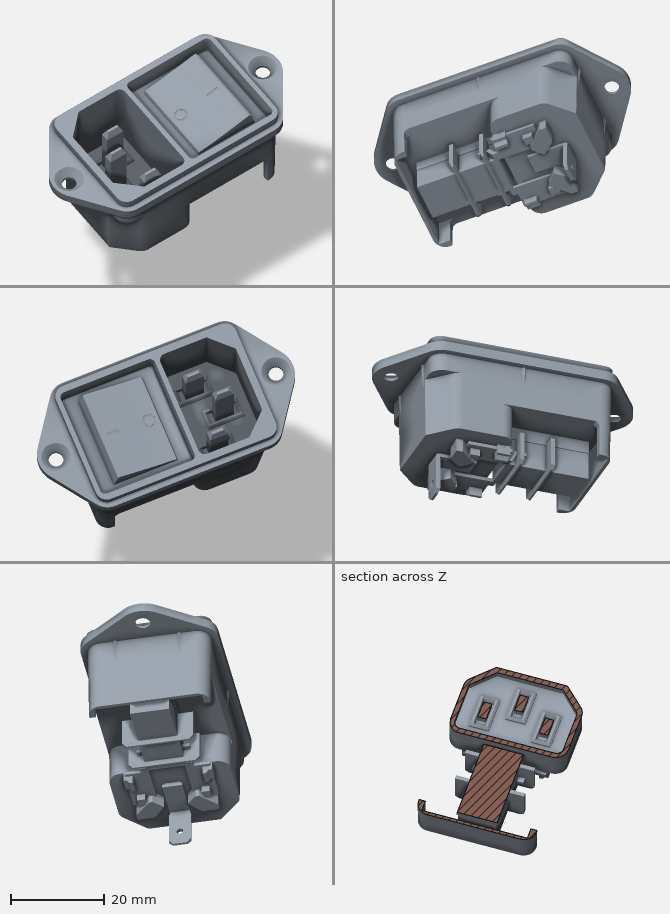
import cadquery as cq
import math


FLANGE_LENGTH = 58.95
FLANGE_WIDTH = 30.0
FLANGE_HALF_WIDTH = FLANGE_WIDTH / 2
FLANGE_THICKNESS = 2.2
EAR_SLOPE = 35.3
EAR_TIP_RADIUS = 6.0
EAR_SHOULDER_RADIUS = 4.25
SCREW_Y = 25.5
SCREW_DIAMETER = 3.2
SCREW_HEAD_DIAMETER = 6.3
SCREW_HEAD_ANGLE = 90
RIM_WIDTH = 27.55
RIM_LENGTH = 41.75
RIM_RADIUS = 2.5
RIM_TOP = 4.1

HOUSING_BOTTOM = -17.75
BOTTOM_WIDTH = 26.5
BOTTOM_LENGTH = 41.15
HOUSING_RADIUS = 2.85
DRAFT = 0.8
STEP_Z = -4.05
FRONT_FLAT_HALF_WIDTH = 7.95
SIDE_WALL = 1.4
END_WALL = 0.75
BAY_TOP = -9.7
WINDOW_BACK_Y = 17.3
WINDOW_CORNER = 0.8
INLET_BACK_Y = -1.8
BAY_FRONT_Y = INLET_BACK_Y - HOUSING_RADIUS
RIB_WIDTH = 1.1
RIB_HEIGHT = 0.4
RIB_ROOT = 0.6
RIB_TIP = 0.01
FRONT_RIB_X = 7.0
FRONT_RIB_LENGTH = 5.4
SIDE_RIB_LENGTH = 4.95

WELL_WIDTH = 24.65
WELL_LENGTH = 21.85
WELL_Y = 8.9
WELL_RADIUS = 1.2
WELL_FLOOR = 0.35
WELL_DRAFT = 6.0
BEZEL_WIDTH = 23.7
BEZEL_LENGTH = 21.0
BEZEL_TOP = 0.7
BEZEL_EDGE = 0.3
ROCKER_WIDTH = 20.1
ROCKER_BACK_Y = 16.3
ROCKER_FRONT_Y = 1.35
RIDGE_BACK_Y = 15.2
RIDGE_BACK_Z = 4.25
RIDGE_FRONT_Y = 14.7
RIDGE_FRONT_Z = 4.5
ROCKER_LIP_Y = 1.65
ROCKER_LIP_Z = 1.55
ROCKER_SAG = 0.2
MARK_DEPTH = 0.1
BAR_WIDTH = 0.6
BAR_LENGTH = 3.05
BAR_Y = 12.25
RING_Y = 3.9
RING_OUTER_RADIUS = 1.55
RING_INNER_RADIUS = 1.0

INLET_WIDTH = 24.35
INLET_HALF_WIDTH = INLET_WIDTH / 2
INLET_TOP_Y = -3.1
INLET_BOTTOM_Y = -19.3
INLET_CHAMFER_X = 7.4
INLET_CHAMFER_Y = -14.4
INLET_TOP_RADIUS = 1.5
INLET_LOW_RADIUS = 0.6
INLET_FLOOR = -12.95
LIVE_PIN_X = 6.95
LIVE_PIN_Y = -9.15
EARTH_PIN_Y = -13.2
LIVE_PIN_TOP = -0.3
EARTH_PIN_TOP = 2.65
PIN_WIDTH = 2.0
PIN_LENGTH = 4.25
PIN_TIP_WIDTH = 0.6
PIN_TIP_LENGTH = 2.65
PIN_TIP_HEIGHT = 1.5
COLLAR_WIDTH = 4.5
COLLAR_LENGTH = 8.4
COLLAR_HEIGHT = 0.9
COLLAR_EDGE = 0.5
SLOT_WIDTH = 2.7
SLOT_LENGTH = 7.3
SLOT_FLOOR_WIDTH = 2.25
SLOT_FLOOR_LENGTH = 6.0

SWITCH_HALF_WIDTH = 4.3
SWITCH_SHOULDER = 0.25
SWITCH_SHOULDER_Z = -12.55
SWITCH_BACK_Y = 18.1
SWITCH_FRONT_Y = -0.7
SWITCH_BOTTOM = -18.8
BLADE_YS = (1.7, 8.7)
BLADE_THICKNESS = 0.9
BLADE_HALF_SPAN = 7.8
BLADE_BOTTOM = -19.9
BLADE_BEVEL_HEIGHT = 0.95
BLADE_BEVEL = 0.25
BLADE_CORNER = 0.9
METAL = 0.75
STRIP_TOP = -18.05
LINK_INNER_X = 4.0
LINK_OUTER_X = 5.8
LINK_RISE = 1.8
LINK_RAMP_START_Y = -0.6
LINK_RAMP_END_Y = 0.6
LINK_END_Y = 3.35
LINK_BEND_SHIFT = 0.6
PAD_OUTER_X = 9.4
PAD_FRONT_Y = -11.2
PAD_BACK_Y = -1.2
POST_OUTER_X = 7.95
POST_INNER_X = 6.2
POST_FRONT_Y = -10.2
POST_BACK_Y = -8.1
POST_BOTTOM = -20.4
LEG_BACK_Y = INLET_BACK_Y
LEG_FRONT_Y = -4.7
LEG_OUTER_X = 9.7
LEG_STEP_X = 8.95
LEG_TIP_X = 8.4
LEG_INNER_X = 7.65
LEG_STEP_Z = -19.85
FOOT_BOTTOM = -20.75
FOOT_FRONT_Y = -13.85
FOOT_SIDE_Y = -12.4
FOOT_BACK_Y = -8.85
FOOT_FRONT_INNER_X = 5.1
FOOT_INNER_X = 2.65
FOOT_INNER_Y = -10.9
FOOT_BACK_INNER_X = 4.7
FOOT_BACK_OUTER_X = 5.5
FOOT_ROUNDING = 0.7
EARTH_TAB_Y = -16.1
EARTH_TAB_THICKNESS = 0.95
EARTH_BEND_RADIUS = 0.9
EARTH_PAD_WIDTH = 3.4
EARTH_PAD_FRONT_Y = -14.45
EARTH_PAD_BACK_Y = -6.8
EARTH_TAB_WIDTH = 4.85
EARTH_NECK_WIDTH = 4.35
EARTH_NECK_BOTTOM = -19.45
EARTH_TAB_BOTTOM = -27.7
EARTH_TIP_CHAMFER = 0.9
EARTH_TIP_BEVEL = 0.2
EARTH_HOLE_DIAMETER = 1.4
EARTH_HOLE_Z = -24.45


def block(x0, x1, y0, y1, z0, z1):
    """Box spanning the given coordinates."""
    return cq.Workplane("XY").box(x1 - x0, y1 - y0, z1 - z0, centered=False).translate((x0, y0, z0))


def rounded_block(width, length, radius, z0, z1, y=0.0):
    """Upright block centred on X = 0 with rounded vertical edges."""
    return block(-width / 2, width / 2, y - length / 2, y + length / 2, z0, z1).edges("|Z").fillet(radius)


def yz_prism(points, x0, x1):
    """Prism along X from an outline of (y, z) points."""
    return cq.Workplane("YZ").polyline(points).close().extrude(x1 - x0).translate((x0, 0, 0))


def bevel_tip(blade, bevel, height):
    """Upright blade thinned by bevel on both faces over the given height at its lower end."""
    box = blade.val().BoundingBox()
    outline = [
        (box.ymin, box.zmax),
        (box.ymin, box.zmin + height),
        (box.ymin + bevel, box.zmin),
        (box.ymax - bevel, box.zmin),
        (box.ymax, box.zmin + height),
        (box.ymax, box.zmax),
    ]
    return blade.intersect(yz_prism(outline, box.xmin, box.xmax))


def both_sides(solid):
    """The solid together with its mirror image across X = 0."""
    return solid.union(solid.mirror("YZ"))


def draft_growth(z):
    """Outward growth of each housing wall at height z, caused by the draft."""
    return (z - HOUSING_BOTTOM) * math.tan(math.radians(DRAFT))


def flange():
    slope = math.radians(EAR_SLOPE)
    apex = FLANGE_LENGTH / 2 + EAR_TIP_RADIUS * (1 / math.cos(slope) - 1)
    shoulder = apex - FLANGE_HALF_WIDTH * math.tan(slope)
    outline = [
        (FLANGE_HALF_WIDTH, shoulder),
        (0, apex),
        (-FLANGE_HALF_WIDTH, shoulder),
        (-FLANGE_HALF_WIDTH, -shoulder),
        (0, -apex),
        (FLANGE_HALF_WIDTH, -shoulder),
    ]
    plate = cq.Workplane("XY").polyline(outline).close().extrude(FLANGE_THICKNESS)
    plate = plate.edges("|Z and (>Y or <Y)").fillet(EAR_TIP_RADIUS)
    for side in ("<X", ">X"):
        plate = plate.faces(side).edges("|Z").fillet(EAR_SHOULDER_RADIUS)
    screws = plate.faces(">Z").workplane(origin=(0, 0, 0)).pushPoints([(0, SCREW_Y), (0, -SCREW_Y)])
    return screws.cskHole(SCREW_DIAMETER, SCREW_HEAD_DIAMETER, SCREW_HEAD_ANGLE)


def drafted(straight, height):
    """Solid with the base of the given straight one, its walls leaning outwards as they rise."""
    return straight.faces("<Z").wires().toPending().extrude(height, taper=-DRAFT)


def upper_housing():
    """Rounded collar between the flange and the step."""
    grow = draft_growth(STEP_Z)
    width = BOTTOM_WIDTH + 2 * grow
    length = BOTTOM_LENGTH + 2 * grow
    straight = rounded_block(width, length, HOUSING_RADIUS + grow, STEP_Z, 0)
    return drafted(straight, -STEP_Z)


def lower_housing():
    """Body under the step, with both -Y corners cut off."""
    height = STEP_Z - HOUSING_BOTTOM
    half_width = BOTTOM_WIDTH / 2
    half_length = BOTTOM_LENGTH / 2
    cut = half_width - FRONT_FLAT_HALF_WIDTH
    outline = [
        (FRONT_FLAT_HALF_WIDTH, -half_length),
        (half_width, cut - half_length),
        (half_width, half_length),
        (-half_width, half_length),
        (-half_width, cut - half_length),
        (-FRONT_FLAT_HALF_WIDTH, -half_length),
    ]
    straight = cq.Workplane("XY", origin=(0, 0, HOUSING_BOTTOM)).polyline(outline).close().extrude(height)
    for side in ("<X", ">X"):
        straight = straight.faces(side).edges("|Z").fillet(HOUSING_RADIUS)
    return drafted(straight, height)


def switch_bay():
    """Space around the switch body: hollow behind the inlet, open to both sides."""
    inner = BOTTOM_WIDTH / 2 - SIDE_WALL
    inside = block(-inner, inner, BAY_FRONT_Y, BOTTOM_LENGTH / 2 - END_WALL, HOUSING_BOTTOM, BAY_TOP)
    window = block(-FLANGE_HALF_WIDTH, FLANGE_HALF_WIDTH, BAY_FRONT_Y, WINDOW_BACK_Y,
                   HOUSING_BOTTOM, BAY_TOP)
    window = window.edges("|X and >Y and >Z").chamfer(WINDOW_CORNER)
    inlet_back = block(-BOTTOM_WIDTH / 2, BOTTOM_WIDTH / 2, INLET_BOTTOM_Y, INLET_BACK_Y,
                       HOUSING_BOTTOM, BAY_TOP)
    inlet_back = inlet_back.edges("|Z and >Y").fillet(HOUSING_RADIUS)
    return inside.union(window).cut(inlet_back)


def crush_rib(length, wall_distance):
    """Pointed triangular rib on a wall facing -Y, fading out downwards."""
    outline = [
        (-RIB_WIDTH / 2, -wall_distance),
        (0, -wall_distance - RIB_HEIGHT),
        (RIB_WIDTH / 2, -wall_distance),
        (0, RIB_ROOT - wall_distance),
    ]
    base = cq.Workplane("XY").polyline(outline).close()
    tip_y = draft_growth(0) - draft_growth(-length) - wall_distance
    return base.workplane(offset=-length).center(0, tip_y).rect(RIB_TIP, RIB_TIP).loft()


def crush_ribs():
    grow = draft_growth(0)
    end_rib = crush_rib(FRONT_RIB_LENGTH, BOTTOM_LENGTH / 2 + grow)
    side_rib = crush_rib(SIDE_RIB_LENGTH, BOTTOM_WIDTH / 2 + grow).rotate((0, 0, 0), (0, 0, 1), -90)
    ribs = both_sides(side_rib)
    for x in (-FRONT_RIB_X, FRONT_RIB_X):
        rib = end_rib.translate((x, 0, 0))
        ribs = ribs.union(rib).union(rib.mirror("XZ"))
    return ribs


def rocker():
    """Rocker tilted towards -Y with a slightly hollow face and engraved bar and ring."""
    chord_y = RIDGE_FRONT_Y - ROCKER_LIP_Y
    chord_z = RIDGE_FRONT_Z - ROCKER_LIP_Z
    chord = math.hypot(chord_y, chord_z)
    middle = ((RIDGE_FRONT_Y + ROCKER_LIP_Y) / 2 + ROCKER_SAG * chord_z / chord,
              (RIDGE_FRONT_Z + ROCKER_LIP_Z) / 2 - ROCKER_SAG * chord_y / chord)

    def below_face(drop):
        """Rocker solid with its whole outline lowered by drop."""
        profile = (
            cq.Workplane("YZ")
            .moveTo(ROCKER_BACK_Y, 0)
            .lineTo(ROCKER_BACK_Y, BEZEL_TOP)
            .lineTo(RIDGE_BACK_Y, RIDGE_BACK_Z)
            .lineTo(RIDGE_FRONT_Y, RIDGE_FRONT_Z)
            .threePointArc(middle, (ROCKER_LIP_Y, ROCKER_LIP_Z))
            .lineTo(ROCKER_FRONT_Y, BEZEL_TOP)
            .lineTo(ROCKER_FRONT_Y, 0)
            .close()
        )
        return profile.extrude(ROCKER_WIDTH / 2, both=True).translate((0, 0, -drop))

    bar = block(-BAR_WIDTH / 2, BAR_WIDTH / 2, BAR_Y - BAR_LENGTH / 2, BAR_Y + BAR_LENGTH / 2,
                0, RIDGE_FRONT_Z)
    ring = cq.Workplane("XY").center(0, RING_Y).circle(RING_OUTER_RADIUS).circle(RING_INNER_RADIUS)
    marks = bar.union(ring.extrude(RIM_TOP)).cut(below_face(MARK_DEPTH))
    return below_face(0).cut(marks)


def rocker_well():
    mouth = rounded_block(WELL_WIDTH, WELL_LENGTH, WELL_RADIUS, WELL_FLOOR, RIM_TOP, WELL_Y)
    mouth = mouth.faces(">Z").wires().toPending()
    return mouth.extrude(WELL_FLOOR - RIM_TOP, combine=False, taper=WELL_DRAFT)


def bezel():
    plate = rounded_block(BEZEL_WIDTH, BEZEL_LENGTH, WELL_RADIUS, 0, BEZEL_TOP, WELL_Y)
    return plate.faces(">Z").edges().chamfer(BEZEL_EDGE)


def inlet_cavity():
    outline = [
        (INLET_HALF_WIDTH, INLET_TOP_Y),
        (-INLET_HALF_WIDTH, INLET_TOP_Y),
        (-INLET_HALF_WIDTH, INLET_CHAMFER_Y),
        (-INLET_CHAMFER_X, INLET_BOTTOM_Y),
        (INLET_CHAMFER_X, INLET_BOTTOM_Y),
        (INLET_HALF_WIDTH, INLET_CHAMFER_Y),
    ]
    cavity = cq.Workplane("XY", origin=(0, 0, INLET_FLOOR)).polyline(outline).close()
    cavity = cavity.extrude(RIM_TOP - INLET_FLOOR)
    cavity = cavity.faces(">Y").edges("|Z").fillet(INLET_TOP_RADIUS)
    lower_half = cq.selectors.BoxSelector(
        (-FLANGE_HALF_WIDTH, -RIM_LENGTH / 2, INLET_FLOOR),
        (FLANGE_HALF_WIDTH, EARTH_PIN_Y, RIM_TOP),
    )
    return cavity.edges("|Z").edges(lower_half).fillet(INLET_LOW_RADIUS)


def pin(x, y, top):
    """Flat contact pin with a tapered tip, standing in a bevelled collar."""
    collar = cq.Workplane("XY", origin=(0, 0, INLET_FLOOR)).rect(COLLAR_WIDTH, COLLAR_LENGTH)
    collar = collar.extrude(COLLAR_HEIGHT).faces(">Z").edges().chamfer(COLLAR_EDGE)
    slot = (
        cq.Workplane("XY", origin=(0, 0, INLET_FLOOR))
        .rect(SLOT_FLOOR_WIDTH, SLOT_FLOOR_LENGTH)
        .workplane(offset=COLLAR_HEIGHT)
        .rect(SLOT_WIDTH, SLOT_LENGTH)
        .loft()
    )
    shoulder = top - PIN_TIP_HEIGHT
    shank = block(-PIN_WIDTH / 2, PIN_WIDTH / 2, -PIN_LENGTH / 2, PIN_LENGTH / 2, INLET_FLOOR, shoulder)
    tip = (
        cq.Workplane("XY", origin=(0, 0, shoulder))
        .rect(PIN_WIDTH, PIN_LENGTH)
        .workplane(offset=PIN_TIP_HEIGHT)
        .rect(PIN_TIP_WIDTH, PIN_TIP_LENGTH)
        .loft()
    )
    return collar.cut(slot).union(shank).union(tip).translate((x, y, 0))


def switch_body():
    lower = block(-SWITCH_HALF_WIDTH, SWITCH_HALF_WIDTH, SWITCH_FRONT_Y, SWITCH_BACK_Y,
                  SWITCH_BOTTOM, BAY_TOP)
    wide = SWITCH_HALF_WIDTH + SWITCH_SHOULDER
    return lower.union(block(-wide, wide, SWITCH_FRONT_Y, SWITCH_BACK_Y, SWITCH_SHOULDER_Z, BAY_TOP))


def switch_blades():
    blades = cq.Workplane("XY")
    for y in BLADE_YS:
        blade = block(-BLADE_HALF_SPAN, BLADE_HALF_SPAN, y - BLADE_THICKNESS / 2, y + BLADE_THICKNESS / 2,
                      BLADE_BOTTOM, SWITCH_SHOULDER_Z)
        blade = blade.edges("|Y and <Z").chamfer(BLADE_CORNER)
        blades = blades.union(bevel_tip(blade, BLADE_BEVEL, BLADE_BEVEL_HEIGHT))
    return blades


def link_strip():
    """Strip from the inlet to the switch, bent upwards beside the switch body."""
    top_z = STRIP_TOP + LINK_RISE
    outline = [
        (LIVE_PIN_Y, STRIP_TOP),
        (LINK_RAMP_START_Y, STRIP_TOP),
        (LINK_RAMP_END_Y, top_z),
        (LINK_END_Y, top_z),
        (LINK_END_Y, top_z - METAL),
        (LINK_RAMP_END_Y + LINK_BEND_SHIFT, top_z - METAL),
        (LINK_RAMP_START_Y + LINK_BEND_SHIFT, STRIP_TOP - METAL),
        (LIVE_PIN_Y, STRIP_TOP - METAL),
    ]
    strip = yz_prism(outline, LINK_INNER_X, LINK_OUTER_X)
    pad = block(LINK_INNER_X, PAD_OUTER_X, PAD_FRONT_Y, PAD_BACK_Y, STRIP_TOP - METAL, STRIP_TOP)
    post = block(POST_INNER_X, POST_OUTER_X, POST_FRONT_Y, POST_BACK_Y, POST_BOTTOM, STRIP_TOP)
    return strip.union(pad).union(post)


def rear_leg():
    """Small foot under the back corner of the inlet."""
    outline = [
        (LEG_INNER_X, HOUSING_BOTTOM),
        (LEG_OUTER_X, HOUSING_BOTTOM),
        (LEG_OUTER_X, LEG_STEP_Z),
        (LEG_STEP_X, LEG_STEP_Z),
        (LEG_TIP_X, FOOT_BOTTOM),
        (LEG_INNER_X, FOOT_BOTTOM),
    ]
    leg = cq.Workplane("XZ", origin=(0, LEG_BACK_Y, 0)).polyline(outline).close()
    return leg.extrude(LEG_BACK_Y - LEG_FRONT_Y)


def front_foot():
    """Many-sided foot under the live contact."""
    outline = [
        (LEG_STEP_X, FOOT_FRONT_Y),
        (FOOT_FRONT_INNER_X, FOOT_FRONT_Y),
        (FOOT_INNER_X, FOOT_INNER_Y),
        (FOOT_BACK_INNER_X, FOOT_BACK_Y),
        (FOOT_BACK_OUTER_X, FOOT_BACK_Y),
        (LEG_STEP_X, FOOT_SIDE_Y),
    ]
    foot = cq.Workplane("XY", origin=(0, 0, FOOT_BOTTOM)).polyline(outline).close()
    foot = foot.extrude(HOUSING_BOTTOM - FOOT_BOTTOM)
    return foot.faces("<Y").edges("|Z and <X").fillet(FOOT_ROUNDING)


def earth_tab():
    """Strip under the inlet, bent down into a flat push-on tab."""
    half = EARTH_TAB_WIDTH / 2
    neck = EARTH_NECK_WIDTH / 2
    back = EARTH_TAB_Y + EARTH_TAB_THICKNESS
    pad = block(-EARTH_PAD_WIDTH / 2, EARTH_PAD_WIDTH / 2, EARTH_PAD_FRONT_Y, EARTH_PAD_BACK_Y,
                STRIP_TOP, HOUSING_BOTTOM)
    strip = block(-neck, neck, EARTH_TAB_Y, EARTH_PAD_BACK_Y, STRIP_TOP - METAL, STRIP_TOP)
    strip = strip.union(block(-neck, neck, EARTH_TAB_Y, back, EARTH_NECK_BOTTOM, STRIP_TOP))
    strip = strip.edges("|X and >Z and <Y").fillet(EARTH_BEND_RADIUS)
    tab = block(-half, half, EARTH_TAB_Y, back, EARTH_TAB_BOTTOM, EARTH_NECK_BOTTOM)
    tab = tab.edges("|Y and <Z").chamfer(EARTH_TIP_CHAMFER)
    tab = bevel_tip(tab, EARTH_TIP_BEVEL, EARTH_TIP_CHAMFER)
    hole = cq.Workplane("XZ", origin=(0, 0, EARTH_HOLE_Z)).circle(EARTH_HOLE_DIAMETER / 2)
    return tab.union(strip).union(pad).cut(hole.extrude(FLANGE_LENGTH / 2))


result = flange().union(rounded_block(RIM_WIDTH, RIM_LENGTH, RIM_RADIUS, FLANGE_THICKNESS, RIM_TOP))
result = result.union(upper_housing()).union(lower_housing()).union(crush_ribs())
result = result.cut(switch_bay())
result = result.cut(rocker_well())
result = result.cut(inlet_cavity())
result = result.union(bezel()).union(rocker())
for pin_x in (-LIVE_PIN_X, LIVE_PIN_X):
    result = result.union(pin(pin_x, LIVE_PIN_Y, LIVE_PIN_TOP))
result = result.union(pin(0, EARTH_PIN_Y, EARTH_PIN_TOP))
result = result.union(switch_body()).union(switch_blades())
for paired_part in (link_strip(), rear_leg(), front_foot()):
    result = result.union(both_sides(paired_part))
result = result.union(earth_tab())